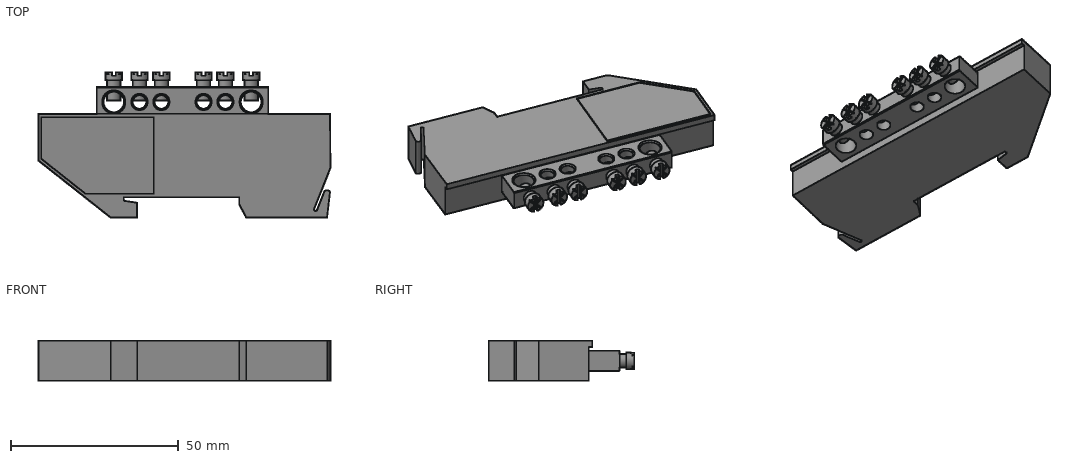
import cadquery as cq
import math

length = 87.0
thickness = 12.0
mid_z = thickness / 2
lip_top = 30.9
body_top = 29.8
lip_thickness = 1.9
top_right_x = 86.8

nose_x = 21.5
nose_y = 17.0
nose_slope = nose_y / nose_x

rail_y = 6.0
hook_tip_x = 29.4
hook_tip_y = 4.4
hook_root_x = 25.5
hook_root_y = 5.05
hook_root_radius = 0.3
stop_x = 59.8
stop_y = 3.9
stop_foot_x = 61.9

tongue_foot_x = 85.95
tongue_tip_x = 86.8
tongue_shoulder_y = 7.6
tongue_top_x = 85.9
tongue_top_y = 8.2
slit_width = 0.9
slit_mouth_y = 14.9
slit_end_x = 82.1
slit_end_y = 2.6
slit_length = 5.3

panel_left = 0.9
panel_right = 34.4
panel_bottom = 7.05
panel_corner_y = 17.5
panel_depth = 0.3

bar_length = 51.15
bar_height = 9.1
bar_thickness = 6.1
bar_center_x = 42.9
bar_edge_chamfer = 0.3
bar_top = body_top + bar_height
wire_hole_y = body_top + bar_height / 2
small_hole_d = 4.0
large_hole_d = 6.1
hole_chamfer = 0.4
inner_offsets = [6.3, 12.8]
outer_offset = 20.45
small_hole_xs = [bar_center_x + side * offset for side in (-1, 1) for offset in inner_offsets]
large_hole_xs = [bar_center_x + side * outer_offset for side in (-1, 1)]
screw_xs = small_hole_xs + large_hole_xs

shank_d = 4.1
head_d = 5.05
head_height = 2.4
screw_tip_y = 34.8
screw_top_y = 43.3
head_base_y = screw_top_y - head_height
slot_width = 1.05
slot_depth = 1.05
cross_width = 0.3
cross_depth = 0.6


def make_outline():
    """Side profile of the housing, including the lip, hook and tongue."""
    slit_angle = math.atan2(slit_mouth_y - slit_end_y, length - slit_end_x)
    along_x = math.cos(slit_angle)
    along_y = math.sin(slit_angle)
    outer_end = (slit_end_x + slit_width * along_y, slit_end_y - slit_width * along_x)
    end_mid = (
        (slit_end_x + outer_end[0] - slit_width * along_x) / 2,
        (slit_end_y + outer_end[1] - slit_width * along_y) / 2,
    )
    tongue_inner = (outer_end[0] + slit_length * along_x, outer_end[1] + slit_length * along_y)
    return (
        cq.Workplane("XY")
        .moveTo(0, lip_top)
        .lineTo(0, nose_y)
        .lineTo(nose_x, 0)
        .lineTo(hook_tip_x, 0)
        .lineTo(hook_tip_x, hook_tip_y)
        .lineTo(hook_root_x, hook_root_y)
        .lineTo(hook_root_x, rail_y)
        .lineTo(stop_x, rail_y)
        .lineTo(stop_x, stop_y)
        .lineTo(stop_foot_x, 0)
        .lineTo(tongue_foot_x, 0)
        .lineTo(tongue_tip_x, tongue_shoulder_y)
        .threePointArc((tongue_top_x, tongue_top_y), tongue_inner)
        .lineTo(*outer_end)
        .threePointArc(end_mid, (slit_end_x, slit_end_y))
        .lineTo(length, slit_mouth_y)
        .lineTo(top_right_x, lip_top)
        .close()
    )


def make_housing():
    body = make_outline().extrude(thickness)
    hook_root = cq.selectors.NearestToPointSelector((hook_root_x, hook_root_y, mid_z))
    body = body.edges("|Z").edges(hook_root).fillet(hook_root_radius)

    under_lip = cq.Workplane("XY").box(
        length, lip_top - body_top, thickness - lip_thickness, centered=False
    ).translate((0, body_top, 0))

    panel_foot_x = panel_left + (panel_corner_y - panel_bottom) / nose_slope
    panel = (
        cq.Workplane("XY", origin=(0, 0, thickness - panel_depth))
        .polyline([
            (panel_left, body_top),
            (panel_left, panel_corner_y),
            (panel_foot_x, panel_bottom),
            (panel_right, panel_bottom),
            (panel_right, body_top),
        ])
        .close()
        .extrude(panel_depth)
    )
    return body.cut(under_lip).cut(panel)


def cylinder_along_y(x, start_y, end_y, diameter):
    return cq.Workplane("XZ", origin=(x, start_y, mid_z)).circle(diameter / 2).extrude(start_y - end_y)


def make_bar():
    bar = (
        cq.Workplane("XY", origin=(bar_center_x, wire_hole_y, mid_z))
        .box(bar_length, bar_height, bar_thickness)
        .faces(">Y").edges("|X").chamfer(bar_edge_chamfer)
    )
    top_z = mid_z + bar_thickness / 2
    for hole_xs, diameter in ((small_hole_xs, small_hole_d), (large_hole_xs, large_hole_d)):
        centers = [(x, wire_hole_y) for x in hole_xs]
        bar = (
            bar.copyWorkplane(cq.Workplane("XY", origin=(0, 0, top_z)))
            .pushPoints(centers)
            .cskHole(diameter, diameter + 2 * hole_chamfer, 90)
        )
    for x in screw_xs:
        bar = bar.cut(cylinder_along_y(x, screw_tip_y, bar_top, shank_d))
    return bar


def make_screw(x):
    shank = cylinder_along_y(x, screw_tip_y, head_base_y, shank_d)
    head = cylinder_along_y(x, head_base_y, screw_top_y, head_d)
    screw = shank.union(head)

    head_top = cq.Workplane("XZ", origin=(x, screw_top_y, mid_z))
    screw = screw.cut(head_top.rect(slot_width, head_d).extrude(slot_depth))
    for angle in (-45, 45):
        groove = head_top.transformed(rotate=(0, 0, angle)).rect(cross_width, 2 * head_d).extrude(cross_depth)
        screw = screw.cut(groove)
    return screw


housing = make_housing()
bar = make_bar()
screws = [make_screw(x) for x in screw_xs]

result = cq.Compound.makeCompound([housing.val(), bar.val(), *[screw.val() for screw in screws]])